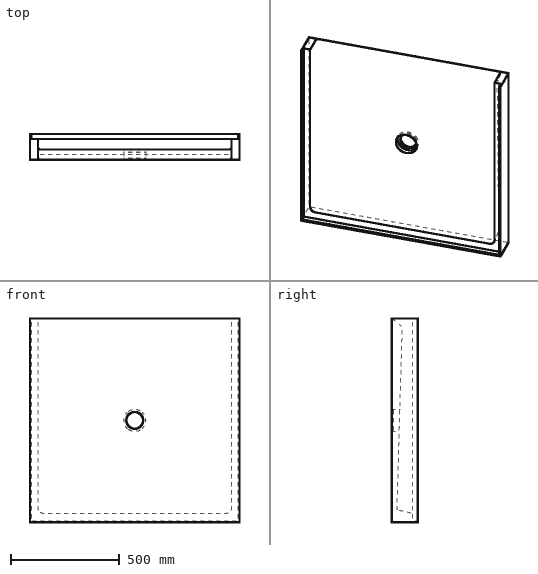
import cadquery as cq
import math

width = 965.0
depth = 121.0
height = 940.0

rim = 8.0
rebate_depth = 25.0

wall = 37.0
corner_radius = 25.0
floor_low = 24.0
floor_high = 48.0
floor_fillet = 11.0
end_wall_draft = 12.5

threshold_radius = 25.0
threshold_angle = 39.0

drain_diameter = 76.0
seat_diameter = 101.0
drain_lip = 10.0


def make_basin():
    """Basin volume: drafted end wall, floor falling away from a sloped, rounded threshold."""
    slope = math.tan(math.radians(threshold_angle))
    overrun = wall
    ridge = floor_high
    ridge_z = height - ridge * slope
    draft_rise = (depth - floor_low) * math.tan(math.radians(end_wall_draft))
    profile = [
        (floor_low, wall + draft_rise),
        (depth, wall),
        (depth, height + overrun),
        (-overrun, height + overrun * slope),
        (ridge, ridge_z),
    ]
    basin = (
        cq.Workplane("YZ")
        .polyline(profile)
        .close()
        .extrude(width - 2 * wall)
        .translate((wall, 0, 0))
    )
    ridge_edge = cq.selectors.NearestToPointSelector((width / 2, ridge, ridge_z))
    basin = basin.edges(ridge_edge).fillet(threshold_radius)

    end_wall_y = (depth + floor_low) / 2
    end_wall_z = wall + draft_rise / 2
    for x in (wall, width - wall):
        corner = cq.selectors.NearestToPointSelector((x, end_wall_y, end_wall_z))
        basin = basin.edges(corner).fillet(corner_radius)

    floor_side = cq.selectors.NearestToPointSelector((wall, (floor_low + floor_high) / 2, height / 2))
    return basin.edges(floor_side).fillet(floor_fillet)


def make_rebate():
    """Shallow step leaving a thin rim at both sides and the bottom."""
    return cq.Workplane("XY").box(
        width - 2 * rim, rebate_depth, height, centered=False
    ).translate((rim, depth - rebate_depth, rim))


def make_bore(diameter, start):
    """Round drain bore running toward the back from the given Y."""
    return (
        cq.Workplane("XZ", origin=(width / 2, start, height / 2))
        .circle(diameter / 2)
        .extrude(-depth)
    )


result = (
    cq.Workplane("XY")
    .box(width, depth, height, centered=False)
    .cut(make_basin())
    .cut(make_rebate())
    .cut(make_bore(drain_diameter, 0))
    .cut(make_bore(seat_diameter, drain_lip))
)